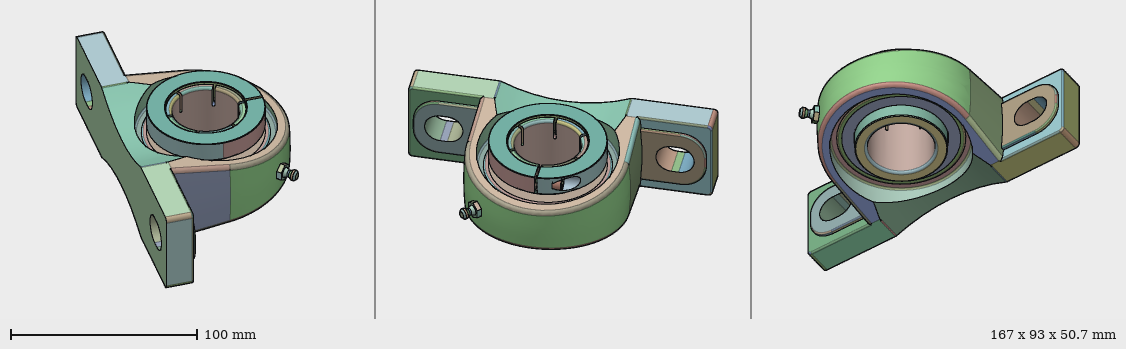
import cadquery as cq
import math


FOOT_LENGTH = 167.0
FOOT_WIDTH = 48.0
FOOT_BOTTOM_Y = -47.6
FOOT_TOP_Y = -32.2
FOOT_CORNER_RADIUS = 2.5
FOOT_EDGE_RADIUS = 1.0
WAIST_DEPTH = 8.1
WAIST_HALF_LENGTH = 36.0
WAIST_BLEND_RADIUS = 2.0
PAD_TOP_Y = -30.2
PAD_WIDTH = 34.4
PAD_HALF_LENGTH = 80.4
PAD_CORNER_RADIUS = 14.0
PAD_EDGE_RADIUS = 0.8
SLOT_SPACING = 127.0
SLOT_LENGTH = 21.0
SLOT_WIDTH = 17.0

SHELL_RADIUS = 45.4
BARREL_RADIUS = 170.0
SHELL_TIP_HALF_WIDTH = 12.9
SHELL_EDGE_RADIUS = 2.5
SEAT_RADIUS = 36.0
COUNTERBORE_RADIUS = 76.91 / 2
COUNTERBORE_FLOOR_Z = 9.5
COUNTERBORE_FILLET = 1.0

OUTER_RING_HALF_WIDTH = 10.0
OUTER_RING_BORE_RADIUS = 64.0 / 2
OUTER_RING_EDGE_RADIUS = 1.0
SEAL_BORE_RADIUS = 51.02 / 2
SEAL_THICKNESS = 2.0
BORE_RADIUS = 36.51 / 2
INNER_RING_RADIUS = 50.0 / 2
INNER_RING_BOTTOM_Z = -17.5
INNER_RING_WIDTH = 42.9
INNER_RING_SHOULDER_Z = 12.0
INNER_RING_CHAMFER = 0.5
BORE_EDGE_RADIUS = 1.5
FINGER_SLOT_COUNT = 6
FINGER_SLOT_WIDTH = 1.48
FINGER_SLOT_BOTTOM_Z = 13.3

COLLAR_RADIUS = 64.0 / 2
COLLAR_BORE_RADIUS = 22.0
COLLAR_BOTTOM_Z = 15.8
COLLAR_TOP_Z = 26.65
COLLAR_CHAMFER = 0.3
COLLAR_SLIT_WIDTH = FINGER_SLOT_WIDTH

SCREW_Y = 26.8
SCREW_Z = (COLLAR_BOTTOM_Z + COLLAR_TOP_Z) / 2
SCREW_RADIUS = 4.13 / 2
SCREW_HOLE_RADIUS = 4.14 / 2
SCREW_TIP_X = 12.0
SCREW_HEAD_RADIUS = 8.5 / 2
SCREW_HEAD_START_X = -13.8
SCREW_HEAD_LENGTH = 5.0
SCREW_SOCKET_FLATS = 4.6
SCREW_SOCKET_DEPTH = 2.5
SCREW_HEAD_CHAMFER = 0.4

NIPPLE_ANGLE = 45.0
NIPPLE_SHANK_RADIUS = 6.0 / 2
NIPPLE_SHANK_LENGTH = 6.0
NIPPLE_HEX_FLATS = 8.5
NIPPLE_HEX_HEIGHT = 2.8
NIPPLE_COLLAR_RADIUS = 5.8 / 2
NIPPLE_COLLAR_HEIGHT = 2.1
NIPPLE_NECK_RADIUS = 2.0
NIPPLE_NECK_HEIGHT = 1.0
NIPPLE_HEAD_RADIUS = 6.0 / 2
NIPPLE_HEAD_FLARE = 1.7
NIPPLE_HEAD_LAND = 1.3
NIPPLE_TIP_RADIUS = 1.9
NIPPLE_TIP_HEIGHT = 1.2


def cylinder_x(radius, start_x, end_x):
    """Cylinder on the clamp screw axis."""
    return (
        cq.Workplane("YZ", origin=(start_x, SCREW_Y, SCREW_Z))
        .circle(radius)
        .extrude(end_x - start_x)
    )


def washer(outer_radius, inner_radius, bottom_z, height):
    """Plain ring about the shaft axis."""
    return (
        cq.Workplane("XY", origin=(0, 0, bottom_z))
        .circle(outer_radius)
        .circle(inner_radius)
        .extrude(height)
    )


def barrel_profile(plane):
    """Half section of the shell, from the shaft axis to its barrel-shaped outer side."""
    half = 0.75 * FOOT_WIDTH
    drop = BARREL_RADIUS - math.sqrt(BARREL_RADIUS**2 - half**2)
    return (
        cq.Workplane(plane)
        .moveTo(0, -half)
        .lineTo(SHELL_RADIUS - drop, -half)
        .threePointArc((SHELL_RADIUS, 0), (SHELL_RADIUS - drop, half))
        .lineTo(0, half)
        .close()
    )


def build_shell():
    """Barrel-sided arch that narrows from the foot to its tip, with rounded edges."""
    leg_length = (FOOT_TOP_Y - FOOT_BOTTOM_Y) / 2 - FOOT_TOP_Y
    half_leg = barrel_profile("XZ").extrude(leg_length)
    arch = barrel_profile("XZ").revolve(180, (0, 0, 0), (0, 1, 0))
    arch = arch.union(half_leg).union(half_leg.mirror("YZ"))

    foot_half = FOOT_WIDTH / 2
    slope = (foot_half - SHELL_TIP_HALF_WIDTH) / (SHELL_RADIUS - FOOT_TOP_Y)
    root_half = foot_half + slope * (FOOT_TOP_Y + leg_length)
    wedge = (
        cq.Workplane("YZ")
        .polyline([
            (-leg_length, -root_half),
            (SHELL_RADIUS, -SHELL_TIP_HALF_WIDTH),
            (SHELL_RADIUS, SHELL_TIP_HALF_WIDTH),
            (-leg_length, root_half),
        ])
        .close()
        .extrude(2 * SHELL_RADIUS, both=True)
    )
    shell = arch.intersect(wedge)
    shell = shell.faces(">Z or <Z").edges("not |X").fillet(SHELL_EDGE_RADIUS)
    return shell


def waist_cutter():
    """Two cylinders along Y that hollow the front and back faces between the bolt slots."""
    radius = (WAIST_HALF_LENGTH**2 + WAIST_DEPTH**2) / (2 * WAIST_DEPTH)
    axis_z = FOOT_WIDTH / 2 - WAIST_DEPTH + radius
    return (
        cq.Workplane("XZ")
        .pushPoints([(0, axis_z), (0, -axis_z)])
        .circle(radius)
        .extrude(FOOT_LENGTH / 2, both=True)
    )


def build_foot():
    """Mounting foot with a waist on both faces and a raised pad around each bolt slot."""
    foot = (
        cq.Workplane("XZ", origin=(0, FOOT_BOTTOM_Y, 0))
        .rect(FOOT_LENGTH, FOOT_WIDTH)
        .extrude(FOOT_BOTTOM_Y - FOOT_TOP_Y)
        .edges("|Y")
        .fillet(FOOT_CORNER_RADIUS)
        .cut(waist_cutter())
    )
    selection_half_length = FOOT_LENGTH / 4
    waist_ends = cq.selectors.BoxSelector(
        (-selection_half_length, FOOT_BOTTOM_Y, -FOOT_WIDTH),
        (selection_half_length, FOOT_TOP_Y, FOOT_WIDTH),
    )
    foot = foot.edges("|Y").edges(waist_ends).fillet(WAIST_BLEND_RADIUS)
    foot = foot.faces(">Y").edges().fillet(FOOT_EDGE_RADIUS)
    pad_sink = FOOT_EDGE_RADIUS
    pads = (
        cq.Workplane("XZ", origin=(0, FOOT_TOP_Y - pad_sink, 0))
        .rect(2 * PAD_HALF_LENGTH, PAD_WIDTH)
        .extrude(FOOT_TOP_Y - PAD_TOP_Y - pad_sink)
        .edges("|Y")
        .fillet(PAD_CORNER_RADIUS)
        .faces(">Y")
        .edges()
        .fillet(PAD_EDGE_RADIUS)
    )
    return foot.union(pads)


def seat_cutter():
    """Spherical bearing seat with a counterbore at each end."""
    reach = FOOT_WIDTH
    seat = cq.Workplane("XY").sphere(SEAT_RADIUS)
    for direction in (1, -1):
        counterbore = (
            cq.Workplane("XY", origin=(0, 0, direction * COUNTERBORE_FLOOR_Z))
            .circle(COUNTERBORE_RADIUS)
            .extrude(direction * reach)
            .faces("<Z" if direction > 0 else ">Z")
            .edges()
            .fillet(COUNTERBORE_FILLET)
        )
        seat = seat.union(counterbore)
    return seat


def nipple_placed(body):
    """Turns a body built along +X to the direction of the grease nipple."""
    return body.rotate((0, 0, 0), (0, 0, 1), NIPPLE_ANGLE)


def nipple_shank():
    """Shank that sits in the shell, also used to cut its hole."""
    return (
        cq.Workplane("YZ", origin=(SHELL_RADIUS - NIPPLE_SHANK_LENGTH, 0, 0))
        .circle(NIPPLE_SHANK_RADIUS)
        .extrude(NIPPLE_SHANK_LENGTH)
    )


def build_housing():
    shell_length = SHELL_RADIUS - FOOT_TOP_Y + FOOT_EDGE_RADIUS
    shell_limit = (
        cq.Workplane("XY", origin=(0, SHELL_RADIUS - shell_length / 2, 0))
        .box(2 * FOOT_LENGTH, shell_length, FOOT_WIDTH)
    )
    shell = build_shell().intersect(shell_limit).cut(waist_cutter())

    slots = (
        cq.Workplane("XZ")
        .pushPoints([(-SLOT_SPACING / 2, 0), (SLOT_SPACING / 2, 0)])
        .slot2D(SLOT_LENGTH, SLOT_WIDTH)
        .extrude(-2 * FOOT_BOTTOM_Y, both=True)
    )
    return build_foot().union(shell).cut(slots).cut(seat_cutter()).cut(nipple_placed(nipple_shank()))


def build_outer_ring():
    """Ring with a spherical outer side that swivels in the housing seat."""
    ring = washer(SEAT_RADIUS, OUTER_RING_BORE_RADIUS, -OUTER_RING_HALF_WIDTH, 2 * OUTER_RING_HALF_WIDTH)
    ring = ring.intersect(cq.Workplane("XY").sphere(SEAT_RADIUS))
    for face in (">Z", "<Z"):
        ring = ring.faces(face).edges(cq.selectors.RadiusNthSelector(-1)).fillet(OUTER_RING_EDGE_RADIUS)
    return ring


def build_seal(direction):
    """Flat seal flush with one end of the outer ring; direction is +1 or -1 along Z."""
    middle_z = direction * (OUTER_RING_HALF_WIDTH - SEAL_THICKNESS / 2)
    return washer(OUTER_RING_BORE_RADIUS, SEAL_BORE_RADIUS, middle_z - SEAL_THICKNESS / 2, SEAL_THICKNESS)


def build_inner_ring():
    """Stepped ring whose slotted upper end is squeezed onto the shaft by the collar."""
    top_z = INNER_RING_BOTTOM_Z + INNER_RING_WIDTH
    ring = (
        cq.Workplane("XY", origin=(0, 0, INNER_RING_BOTTOM_Z))
        .circle(INNER_RING_RADIUS)
        .extrude(INNER_RING_SHOULDER_Z - INNER_RING_BOTTOM_Z)
        .faces(">Z")
        .workplane(origin=(0, 0, INNER_RING_SHOULDER_Z))
        .circle(COLLAR_BORE_RADIUS)
        .extrude(top_z - INNER_RING_SHOULDER_Z)
        .faces(">Z or <Z")
        .edges()
        .chamfer(INNER_RING_CHAMFER)
    )
    ring = ring.cut(
        cq.Workplane("XY", origin=(0, 0, INNER_RING_BOTTOM_Z)).circle(BORE_RADIUS).extrude(INNER_RING_WIDTH)
    )
    ring = ring.faces(">Z or <Z").edges(cq.selectors.RadiusNthSelector(0)).fillet(BORE_EDGE_RADIUS)

    slot_height = 2 * (top_z - FINGER_SLOT_BOTTOM_Z)
    slot = (
        cq.Workplane("YZ", origin=(0, 0, top_z))
        .slot2D(slot_height, FINGER_SLOT_WIDTH, 90)
        .extrude(INNER_RING_RADIUS)
    )
    slit_angle = 90
    for index in range(FINGER_SLOT_COUNT):
        angle = slit_angle + index * 360 / FINGER_SLOT_COUNT
        ring = ring.cut(slot.rotate((0, 0, 0), (0, 0, 1), angle))
    return ring


def build_collar():
    """Split clamp collar with a screw across its slit on the +Y side."""
    height = COLLAR_TOP_Z - COLLAR_BOTTOM_Z
    collar = (
        washer(COLLAR_RADIUS, COLLAR_BORE_RADIUS, COLLAR_BOTTOM_Z, height)
        .faces(">Z")
        .edges()
        .chamfer(COLLAR_CHAMFER)
    )
    slit = (
        cq.Workplane("XY", origin=(0, COLLAR_RADIUS / 2, COLLAR_BOTTOM_Z))
        .rect(COLLAR_SLIT_WIDTH, COLLAR_RADIUS)
        .extrude(height)
    )
    head_seat_x = SCREW_HEAD_START_X + SCREW_HEAD_LENGTH
    head_recess = cylinder_x(SCREW_HEAD_RADIUS, -COLLAR_RADIUS, head_seat_x)
    screw_hole = cylinder_x(SCREW_HOLE_RADIUS, head_seat_x, SCREW_TIP_X)
    return collar.cut(slit).cut(head_recess).cut(screw_hole)


def build_clamp_screw():
    """Socket head cap screw."""
    head_seat_x = SCREW_HEAD_START_X + SCREW_HEAD_LENGTH
    head = (
        cylinder_x(SCREW_HEAD_RADIUS, SCREW_HEAD_START_X, head_seat_x)
        .faces("<X")
        .edges()
        .chamfer(SCREW_HEAD_CHAMFER)
    )
    socket = (
        cq.Workplane("YZ", origin=(SCREW_HEAD_START_X, SCREW_Y, SCREW_Z))
        .transformed(rotate=(0, 0, 30))
        .polygon(6, SCREW_SOCKET_FLATS, circumscribed=True)
        .extrude(SCREW_SOCKET_DEPTH)
    )
    return head.union(cylinder_x(SCREW_RADIUS, head_seat_x, SCREW_TIP_X)).cut(socket)


def build_grease_nipple():
    """Hexagon base with a shank below it and a necked, tapered head above it."""
    hexagon = (
        cq.Workplane("YZ", origin=(SHELL_RADIUS, 0, 0))
        .polygon(6, NIPPLE_HEX_FLATS, circumscribed=True)
        .extrude(NIPPLE_HEX_HEIGHT)
    )
    collar_x = SHELL_RADIUS + NIPPLE_HEX_HEIGHT
    neck_x = collar_x + NIPPLE_COLLAR_HEIGHT
    head_x = neck_x + NIPPLE_NECK_HEIGHT
    land_x = head_x + NIPPLE_HEAD_FLARE
    taper_x = land_x + NIPPLE_HEAD_LAND
    tip_x = taper_x + NIPPLE_TIP_HEIGHT
    head = (
        cq.Workplane("XY")
        .polyline([
            (collar_x, 0),
            (collar_x, NIPPLE_COLLAR_RADIUS),
            (neck_x, NIPPLE_NECK_RADIUS),
            (head_x, NIPPLE_NECK_RADIUS),
            (land_x, NIPPLE_HEAD_RADIUS),
            (taper_x, NIPPLE_HEAD_RADIUS),
            (tip_x, NIPPLE_TIP_RADIUS),
            (tip_x, 0),
        ])
        .close()
        .revolve(360, (0, 0, 0), (1, 0, 0))
    )
    return nipple_placed(nipple_shank().union(hexagon).union(head))


housing = build_housing()
outer_ring = build_outer_ring()
seals = [build_seal(direction) for direction in (1, -1)]
inner_ring = build_inner_ring()
collar = build_collar()
clamp_screw = build_clamp_screw()
grease_nipple = build_grease_nipple()

result = cq.Compound.makeCompound([
    housing.val(),
    outer_ring.val(),
    *[seal.val() for seal in seals],
    inner_ring.val(),
    collar.val(),
    clamp_screw.val(),
    grease_nipple.val(),
])